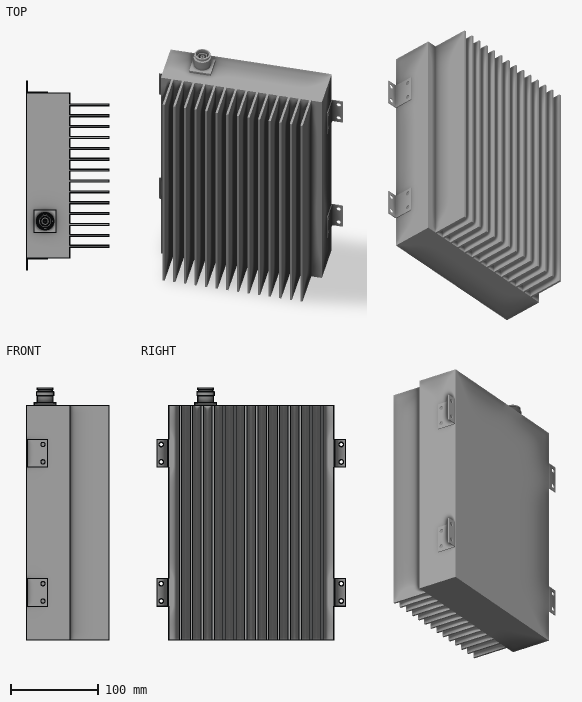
import cadquery as cq

housing_depth = 50.0
housing_width = 190.0
housing_height = 270.0
fin_length = 45.0
fin_thickness = 2.5
fin_pitch = 12.5
fin_count = 14

overall_width = 217.0
bracket_height = 32.0
bracket_leg_length = 24.0
bracket_thickness = 1.0
bracket_inner_radius = 1.0
bracket_outer_radius = bracket_inner_radius + bracket_thickness
bracket_flange_length = (overall_width - housing_width) / 2
bracket_hole_diameter = 5.0
bracket_hole_spacing = 20.0
bracket_hole_edge_distance = 5.0
bracket_end_distance = 39.0

connector_x = 21.5
connector_y = -52.5
connector_flange_side = 25.4
connector_flange_thickness = 3.0
barrel_radius = 9.25
barrel_top = 10.8
ring_radius = 10.0
ring_bottom = 11.5
ring_top = 15.4
neck_radius = 8.4
neck_bottom = 16.2
neck_top = 18.3
collar_radius = 9.25
collar_chamfer = 0.4
connector_height = 20.1
socket_radius = 7.5
socket_floor = 9.0
sleeve_outer_radius = 5.5
sleeve_inner_radius = 4.8
sleeve_top = 17.0
contact_outer_radius = 2.4
contact_inner_radius = 1.2
contact_top = 16.0


def make_housing():
    """Box with evenly spaced full-height fins, centred on Y."""
    body = cq.Workplane("XY").box(
        housing_depth, housing_width, housing_height, centered=(False, True, False)
    )
    fins = (
        cq.Workplane("XY")
        .center(housing_depth + fin_length / 2, 0)
        .rarray(1, fin_pitch, 1, fin_count)
        .rect(fin_length, fin_thickness)
        .extrude(housing_height)
    )
    return body.union(fins)


def make_bracket(side, bottom):
    """L-shaped bracket: the leg lies on the housing side, the flange is flush with its -X face.

    side is +1 for the +Y side of the housing and -1 for the -Y side.
    """
    bracket = (
        cq.Workplane("XY")
        .moveTo(0, bracket_outer_radius)
        .lineTo(0, bracket_flange_length)
        .lineTo(bracket_thickness, bracket_flange_length)
        .lineTo(bracket_thickness, bracket_outer_radius)
        .radiusArc((bracket_outer_radius, bracket_thickness), -bracket_inner_radius)
        .lineTo(bracket_leg_length, bracket_thickness)
        .lineTo(bracket_leg_length, 0)
        .lineTo(bracket_outer_radius, 0)
        .radiusArc((0, bracket_outer_radius), bracket_outer_radius)
        .close()
        .extrude(bracket_height)
    )
    for hole_z in (
        (bracket_height - bracket_hole_spacing) / 2,
        (bracket_height + bracket_hole_spacing) / 2,
    ):
        flange_hole = (
            cq.Workplane("YZ")
            .center(bracket_flange_length - bracket_hole_edge_distance, hole_z)
            .circle(bracket_hole_diameter / 2)
            .extrude(bracket_thickness)
        )
        leg_hole = (
            cq.Workplane("XZ")
            .center(bracket_leg_length - bracket_hole_edge_distance, hole_z)
            .circle(bracket_hole_diameter / 2)
            .extrude(-bracket_thickness)
        )
        bracket = bracket.cut(flange_hole).cut(leg_hole)
    if side < 0:
        bracket = bracket.mirror("XZ")
    return bracket.translate((0, side * housing_width / 2, bottom))


def make_connector():
    """Square flange with a revolved socket, insulating sleeve and hollow centre contact."""
    profile = [
        (contact_inner_radius, 0),
        (barrel_radius, 0),
        (barrel_radius, barrel_top),
        (ring_radius, ring_bottom),
        (ring_radius, ring_top),
        (neck_radius, neck_bottom),
        (neck_radius, neck_top),
        (collar_radius, neck_top),
        (collar_radius, connector_height - collar_chamfer),
        (collar_radius - collar_chamfer, connector_height),
        (socket_radius, connector_height),
        (socket_radius, socket_floor),
        (sleeve_outer_radius, socket_floor),
        (sleeve_outer_radius, sleeve_top),
        (sleeve_inner_radius, sleeve_top),
        (sleeve_inner_radius, socket_floor),
        (contact_outer_radius, socket_floor),
        (contact_outer_radius, contact_top),
        (contact_inner_radius, contact_top),
    ]
    socket = cq.Workplane("XZ").polyline(profile).close().revolve(360, (0, 0, 0), (0, 1, 0))
    flange = cq.Workplane("XY").box(
        connector_flange_side,
        connector_flange_side,
        connector_flange_thickness,
        centered=(True, True, False),
    )
    return flange.union(socket).translate((connector_x, connector_y, housing_height))


housing = make_housing()
connector = make_connector()
brackets = []
for side in (-1, 1):
    for bottom in (bracket_end_distance, housing_height - bracket_end_distance - bracket_height):
        brackets.append(make_bracket(side, bottom))

result = cq.Compound.makeCompound(
    [housing.val(), connector.val(), *[bracket.val() for bracket in brackets]]
)